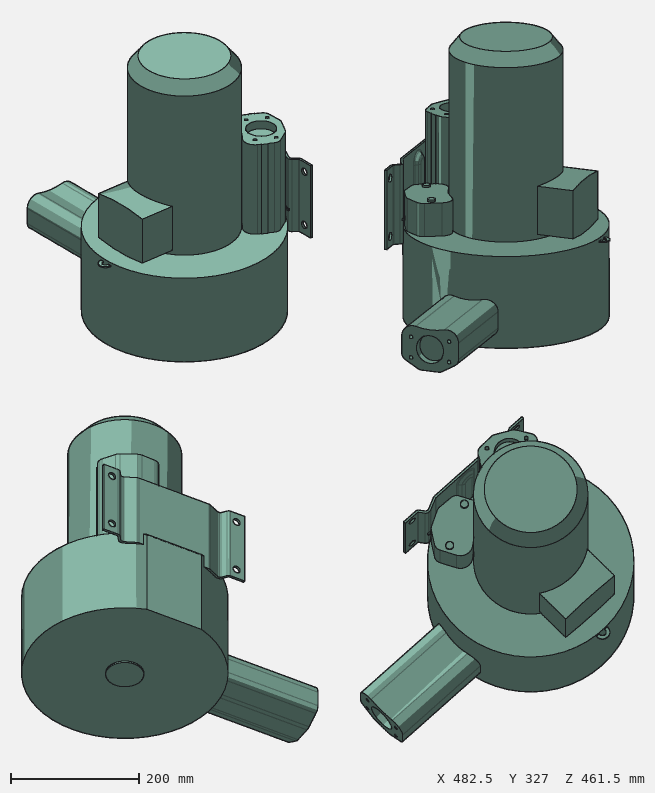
import cadquery as cq
import math

total_length = 482.5
housing_radius = 161.0
housing_height = 151.0
housing_back_y = 153.5
hub_radius = 30.0
hub_height = 3.0

motor_radius = 89.0
motor_height = 307.5
motor_taper_height = 21.0
motor_taper_width = 17.0

box_width = 105.0
box_center_x = 1.5
box_front_y = -132.5
box_bottom_z = 158.5
box_top_z = 237.8
box_crown = 4.5

flange_half_width = 47.7
flange_half_height = 35.5
flange_dip_v = 32.5
flange_corner_radius = 19.5
flange_foot_half_width = 17.5
flange_foot_angle = math.radians(30)
flange_bend_radius = 13.0
screw_u = 32.0
screw_v = 17.0
screw_hole_radius = 3.0
recess_depth = 14.5

pipe_axis_z = 44.0
pipe_bore_radius = 22.5
pipe_inner_x = -96.5

tower_angle = 28.0
tower_gap = 1.0
tower_distance = motor_radius + tower_gap + flange_dip_v
cover_height = 54.5
bolt_spacing = 73.0
bolt_v = 1.5
bolt_head_radius = 6.5
bolt_head_height = 3.5
outlet_height = 161.0
outlet_bore_radius = 24.0
strip_width = 10.0
strip_height = 1.0
strip_v = 5.0

sheet_thickness = 4.0
bracket_half_width = 127.5
bracket_bottom_z = 129.5
bracket_height = 130.0
bracket_tab_y = housing_back_y - sheet_thickness / 2
bracket_tab_inner_x = 99.5
bracket_valley_y = 140.0
bracket_valley_outer_x = 90.5
bracket_valley_inner_x = 85.0
bracket_panel_y = 149.5
bracket_panel_half_width = 64.0
bracket_bend_radius = 4.5
bracket_hole_x = 112.5
bracket_hole_radius = 6.5
bracket_hole_inset = 17.5
clip_bottom_z = 168.0
clip_height = 3.0
clip_thickness = 2.5
rib_base_half_width = 18.0
rib_height = 7.5
rib_taper = 45.0
rib_end_inset = 7.0
rib_base_fillet = 4.0
rib_crest_fillet = 7.0

eye_outer_radius = 11.5
eye_inner_radius = 6.0
eye_center_y = -162.0
eye_thickness = 2.0
eye_center_z = 145.0


def flange_outline(plane):
    """Closed outline of a port flange, with a hollow side that fits the motor."""
    corner_u = flange_half_width - flange_corner_radius
    corner_v = flange_half_height - flange_corner_radius
    drop = flange_dip_v - corner_v
    hollow_radius = (corner_u**2 + drop**2 - flange_corner_radius**2) / (2 * (flange_corner_radius - drop))
    hollow_center_v = flange_dip_v + hollow_radius
    hollow_angle = math.asin(corner_u / (hollow_radius + flange_corner_radius))
    tangent_u = hollow_radius * math.sin(hollow_angle)
    tangent_v = hollow_center_v - hollow_radius * math.cos(hollow_angle)
    middle_angle = (math.pi / 2 + hollow_angle) / 2
    middle_u = corner_u + flange_corner_radius * math.cos(middle_angle)
    middle_v = corner_v + flange_corner_radius * math.sin(middle_angle)

    turn = math.pi / 2 - flange_foot_angle
    slope_rise = (flange_half_width - flange_foot_half_width) * math.tan(flange_foot_angle)
    shoulder_v = -flange_half_height + slope_rise + flange_bend_radius * math.tan(turn / 2)
    shoulder_center_u = flange_half_width - flange_bend_radius

    def shoulder_point(angle):
        u = shoulder_center_u + flange_bend_radius * math.cos(angle)
        v = shoulder_v - flange_bend_radius * math.sin(angle)
        return u, v

    half_u, half_v = shoulder_point(turn / 2)
    end_u, end_v = shoulder_point(turn)
    foot_u = flange_foot_half_width - flange_bend_radius * math.tan(flange_foot_angle / 2)
    foot_center_v = flange_bend_radius - flange_half_height

    def foot_point(angle):
        u = foot_u + flange_bend_radius * math.sin(angle)
        v = foot_center_v - flange_bend_radius * math.cos(angle)
        return u, v

    foot_half_u, foot_half_v = foot_point(flange_foot_angle / 2)
    foot_end_u, foot_end_v = foot_point(flange_foot_angle)

    return (
        cq.Workplane(plane)
        .moveTo(-foot_u, -flange_half_height)
        .lineTo(foot_u, -flange_half_height)
        .threePointArc((foot_half_u, foot_half_v), (foot_end_u, foot_end_v))
        .lineTo(end_u, end_v)
        .threePointArc((half_u, half_v), (flange_half_width, shoulder_v))
        .lineTo(flange_half_width, corner_v)
        .threePointArc((middle_u, middle_v), (tangent_u, tangent_v))
        .threePointArc((0, flange_dip_v), (-tangent_u, tangent_v))
        .threePointArc((-middle_u, middle_v), (-flange_half_width, corner_v))
        .lineTo(-flange_half_width, shoulder_v)
        .threePointArc((-half_u, half_v), (-end_u, end_v))
        .lineTo(-foot_end_u, foot_end_v)
        .threePointArc((-foot_half_u, foot_half_v), (-foot_u, -flange_half_height))
        .close()
    )


def port_recesses(plane, bore_radius):
    """Blind bore and four screw holes sunk into a port face whose normal points outwards."""
    screws = [(u, v) for u in (-screw_u, screw_u) for v in (-screw_v, screw_v)]
    bore = cq.Workplane(plane).circle(bore_radius).extrude(-recess_depth)
    holes = cq.Workplane(plane).pushPoints(screws).circle(screw_hole_radius).extrude(-recess_depth)
    return bore.union(holes)


def tower_plane(side, height):
    """Plane at the given height, centered on a tower, with v pointing at the motor axis."""
    angle = math.radians(tower_angle)
    across = (-math.cos(angle), side * math.sin(angle), 0)
    origin = (side * tower_distance * math.sin(angle), tower_distance * math.cos(angle), height)
    return cq.Plane(origin=origin, xDir=across, normal=(0, 0, 1))


def make_housing():
    drum = cq.Workplane("XY").circle(housing_radius).extrude(housing_height)
    trim = (
        cq.Workplane("XY")
        .box(2 * housing_radius, housing_radius, housing_height, centered=(True, False, False))
        .translate((0, housing_back_y, 0))
    )
    hub = cq.Workplane("XY").circle(hub_radius).extrude(-hub_height)
    return drum.cut(trim).union(hub)


def make_motor():
    return (
        cq.Workplane("XY", origin=(0, 0, housing_height))
        .circle(motor_radius)
        .extrude(motor_height)
        .faces(">Z")
        .chamfer(motor_taper_height, motor_taper_width)
    )


def make_terminal_box():
    left = box_center_x - box_width / 2
    right = box_center_x + box_width / 2
    return (
        cq.Workplane("XZ")
        .moveTo(left, box_bottom_z)
        .threePointArc((box_center_x, box_bottom_z - box_crown), (right, box_bottom_z))
        .lineTo(right, box_top_z)
        .threePointArc((box_center_x, box_top_z + box_crown), (left, box_top_z))
        .close()
        .extrude(-box_front_y)
    )


def make_inlet_pipe():
    outer_x = housing_radius - total_length
    face = cq.Plane(origin=(outer_x, 0, pipe_axis_z), xDir=(0, -1, 0), normal=(-1, 0, 0))
    pipe = flange_outline(face).extrude(outer_x - pipe_inner_x)
    return pipe.cut(port_recesses(face, pipe_bore_radius))


def make_cover_tower():
    tower = flange_outline(tower_plane(-1, housing_height)).extrude(cover_height)
    heads = (
        cq.Workplane(tower_plane(-1, housing_height + cover_height))
        .pushPoints([(-bolt_spacing / 2, bolt_v), (bolt_spacing / 2, bolt_v)])
        .circle(bolt_head_radius)
        .extrude(bolt_head_height)
    )
    return tower.union(heads)


def make_outlet_tower():
    tower = flange_outline(tower_plane(1, housing_height)).extrude(outlet_height)
    side_strips = (
        cq.Workplane(tower_plane(1, housing_height))
        .center(0, strip_v)
        .rect(2 * (flange_half_width + strip_height), strip_width)
        .extrude(outlet_height)
    )
    tower = tower.union(side_strips)
    return tower.cut(port_recesses(tower_plane(1, housing_height + outlet_height), outlet_bore_radius))


def make_bracket():
    right_half = [
        (bracket_panel_half_width, bracket_panel_y),
        (bracket_valley_inner_x, bracket_valley_y),
        (bracket_valley_outer_x, bracket_valley_y),
        (bracket_tab_inner_x, bracket_tab_y),
        (bracket_half_width, bracket_tab_y),
    ]
    left_half = [(-x, y) for x, y in reversed(right_half)]
    middle_z = bracket_bottom_z + bracket_height / 2
    folds = [cq.Vector(x, y, middle_z) for x, y in left_half + right_half]
    path = cq.Wire.makePolygon(folds)
    path = path.fillet(bracket_bend_radius, path.Vertices()[1:-1])
    sheet = (
        cq.Workplane("YZ", origin=(-bracket_half_width, bracket_tab_y, middle_z))
        .rect(sheet_thickness, bracket_height)
        .sweep(path)
    )
    hole_offset = bracket_height / 2 - bracket_hole_inset
    corners = [(x, z) for x in (-bracket_hole_x, bracket_hole_x) for z in (-hole_offset, hole_offset)]
    holes = (
        cq.Workplane("XZ", origin=(0, bracket_tab_y, middle_z))
        .pushPoints(corners)
        .circle(bracket_hole_radius)
        .extrude(sheet_thickness, both=True)
    )
    panel_front_y = bracket_panel_y - sheet_thickness / 2
    rib = (
        cq.Workplane("XZ", origin=(0, panel_front_y, middle_z))
        .slot2D(bracket_height - 2 * rib_end_inset, 2 * rib_base_half_width, 90)
        .extrude(rib_height, taper=rib_taper)
        .faces("<Y")
        .edges()
        .fillet(rib_crest_fillet)
    )
    valley_front_y = bracket_valley_y - sheet_thickness / 2
    clip_back = [
        (bracket_valley_outer_x, valley_front_y),
        (bracket_valley_inner_x, valley_front_y),
        (bracket_panel_half_width, panel_front_y),
    ]
    clip_front = [(x, y - clip_thickness) for x, y in reversed(clip_back)]
    clip = (
        cq.Workplane("XY", origin=(0, 0, clip_bottom_z))
        .polyline([(x, y + sheet_thickness / 2) for x, y in clip_back] + clip_front)
        .close()
        .extrude(clip_height)
    )
    clips = clip.union(clip.mirror("YZ"))

    inset = rib_end_inset / 2
    tolerance = sheet_thickness / 4
    rib_base = cq.selectors.BoxSelector(
        (-bracket_panel_half_width / 2, panel_front_y - tolerance, bracket_bottom_z + inset),
        (bracket_panel_half_width / 2, panel_front_y + tolerance, bracket_bottom_z + bracket_height - inset),
    )
    panel = sheet.cut(holes).union(rib).edges(rib_base).fillet(rib_base_fillet)
    return panel.union(clips)


def make_lifting_eye():
    leg_length = housing_radius + eye_center_y + eye_outer_radius

    def rounded_bar(radius):
        return (
            cq.Workplane("XY", origin=(0, eye_center_y, eye_center_z - eye_thickness / 2))
            .moveTo(-radius, leg_length)
            .lineTo(-radius, 0)
            .threePointArc((0, -radius), (radius, 0))
            .lineTo(radius, leg_length)
            .close()
            .extrude(eye_thickness)
        )

    return rounded_bar(eye_outer_radius).cut(rounded_bar(eye_inner_radius))


result = (
    make_housing()
    .union(make_motor())
    .union(make_terminal_box())
    .union(make_inlet_pipe())
    .union(make_cover_tower())
    .union(make_outlet_tower())
    .union(make_bracket())
    .union(make_lifting_eye())
)